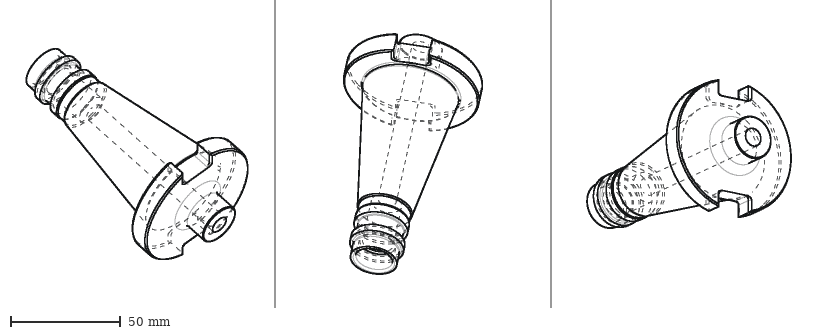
import cadquery as cq
import math


length = 120.0
collar_start = 7.8
collar_end = 11.2
band_start = 18.2
band_end = 23.3
cone_start = 28.3
cone_length = 65.0
seat_width = 1.5
flange_width = 10.1
cone_end = cone_start + cone_length
flange_start = cone_end + seat_width
flange_end = flange_start + flange_width

tail_radius = 10.8
neck_radius = 10.5
collar_radius = 12.5
relief_radius = 12.1
cone_slope = 7 / 48
cone_big_radius = 22.2
cone_small_radius = cone_big_radius - cone_slope * cone_length
flange_radius = 31.5
nose_radius = 10.0

tail_taper_start = 5.9
neck_fillet = 0.7
band_fillet = 0.4
band_chamfer = 0.7
cone_lead = 0.7
seat_fillet = 0.8
flange_chamfer_length = 0.8
flange_chamfer_height = 0.6
nose_fillet = 4.0
nose_chamfer = 0.4

mouth_fillet = 1.1
pilot_radius = 8.5
pilot_depth = 9.2
pilot_fillet = 0.4
thread_radius = 7.1
thread_start = 10.0
thread_depth = 32.0
through_radius = 4.2
drill_half_angle = 59.0

slot_width = 16.2
slot_floor = 22.7
slot_fillet = 1.7
slot_chamfer_width = 1.1
slot_chamfer_depth = 1.0
slot_clearance = 1.2


def arc_middle(center, radius, angle):
    """Point on a circle at the given angle, used as the middle of a quarter arc."""
    turn = math.radians(angle)
    return center[0] + radius * math.cos(turn), center[1] + radius * math.sin(turn)


def turned_body():
    """Solid of revolution without bore or slots, drawn as X against radius."""
    front_center = (collar_start - neck_fillet, neck_radius + neck_fillet)
    back_center = (collar_end + neck_fillet, neck_radius + neck_fillet)
    band_center = (band_start - band_fillet, neck_radius + band_fillet)
    seat_center = (flange_start - seat_fillet, cone_big_radius + seat_fillet)
    nose_center = (flange_end + nose_fillet, nose_radius + nose_fillet)
    profile = (
        cq.Workplane("XZ")
        .moveTo(0, 0)
        .lineTo(0, tail_radius)
        .lineTo(tail_taper_start, tail_radius)
        .lineTo(collar_start - neck_fillet, neck_radius)
        .threePointArc(
            arc_middle(front_center, neck_fillet, -45),
            (collar_start, neck_radius + neck_fillet),
        )
        .lineTo(collar_start, collar_radius)
        .lineTo(collar_end, collar_radius)
        .lineTo(collar_end, neck_radius + neck_fillet)
        .threePointArc(
            arc_middle(back_center, neck_fillet, -135),
            (collar_end + neck_fillet, neck_radius),
        )
        .lineTo(band_start - band_fillet, neck_radius)
        .threePointArc(
            arc_middle(band_center, band_fillet, -45),
            (band_start, neck_radius + band_fillet),
        )
        .lineTo(band_start, collar_radius)
        .lineTo(band_end - band_chamfer, collar_radius)
        .lineTo(band_end, relief_radius)
        .lineTo(cone_start - cone_lead, relief_radius)
        .lineTo(cone_start, cone_small_radius)
        .lineTo(cone_end, cone_big_radius)
        .lineTo(flange_start - seat_fillet, cone_big_radius)
        .threePointArc(
            arc_middle(seat_center, seat_fillet, -45),
            (flange_start, cone_big_radius + seat_fillet),
        )
        .lineTo(flange_start, flange_radius - flange_chamfer_height)
        .lineTo(flange_start + flange_chamfer_length, flange_radius)
        .lineTo(flange_end - flange_chamfer_length, flange_radius)
        .lineTo(flange_end, flange_radius - flange_chamfer_height)
        .lineTo(flange_end, nose_radius + nose_fillet)
        .threePointArc(
            arc_middle(nose_center, nose_fillet, -135),
            (flange_end + nose_fillet, nose_radius),
        )
        .lineTo(length - nose_chamfer, nose_radius)
        .lineTo(length, nose_radius - nose_chamfer)
        .lineTo(length, 0)
        .close()
    )
    return profile.revolve(360, (0, 0, 0), (1, 0, 0))


def bore():
    """Rounded mouth, pilot, thread core with a drill-point end, and through hole."""
    mouth_center = (mouth_fillet, pilot_radius + mouth_fillet)
    pilot_center = (pilot_depth - pilot_fillet, pilot_radius - pilot_fillet)
    drill_tip = (thread_radius - through_radius) / math.tan(math.radians(drill_half_angle))
    profile = (
        cq.Workplane("XZ")
        .moveTo(0, 0)
        .lineTo(0, pilot_radius + mouth_fillet)
        .threePointArc(
            arc_middle(mouth_center, mouth_fillet, -135),
            (mouth_fillet, pilot_radius),
        )
        .lineTo(pilot_depth - pilot_fillet, pilot_radius)
        .threePointArc(
            arc_middle(pilot_center, pilot_fillet, 45),
            (pilot_depth, pilot_radius - pilot_fillet),
        )
        .lineTo(thread_start, thread_radius)
        .lineTo(thread_depth, thread_radius)
        .lineTo(thread_depth + drill_tip, through_radius)
        .lineTo(length, through_radius)
        .lineTo(length, 0)
        .close()
    )
    return profile.revolve(360, (0, 0, 0), (1, 0, 0))


def slot_outline(plane, half_width):
    """Upward-open slot section in Y and Z.

    The flat floor keeps its width, so the corner rounds turn elliptical when the walls are wider.
    """
    top = flange_radius + slot_clearance
    round_end = slot_floor + slot_fillet
    floor_half = slot_width / 2 - slot_fillet
    reach = half_width - floor_half
    return (
        plane.moveTo(-half_width, top)
        .lineTo(-half_width, round_end)
        .ellipseArc(reach, slot_fillet, 180, 270)
        .lineTo(floor_half, slot_floor)
        .ellipseArc(reach, slot_fillet, 270, 360)
        .lineTo(half_width, top)
        .close()
    )


def slot_flare(face, inward):
    """Widening of the slot walls towards one flange face."""
    half_width = slot_width / 2
    wide = slot_outline(cq.Workplane("YZ", origin=(face, 0, 0)), half_width + slot_chamfer_width)
    return slot_outline(wide.workplane(offset=inward * slot_chamfer_depth), half_width).loft(ruled=True)


def driving_slot():
    """Slot through the flange at +Z, with both ends of its walls chamfered."""
    start = cq.Workplane("YZ", origin=(flange_start, 0, 0))
    passage = slot_outline(start, slot_width / 2).extrude(flange_width)
    return passage.union(slot_flare(flange_start, 1)).union(slot_flare(flange_end, -1))


result = turned_body().cut(bore())
slot = driving_slot()
for angle in (0, 180):
    result = result.cut(slot.rotate((0, 0, 0), (1, 0, 0), angle))